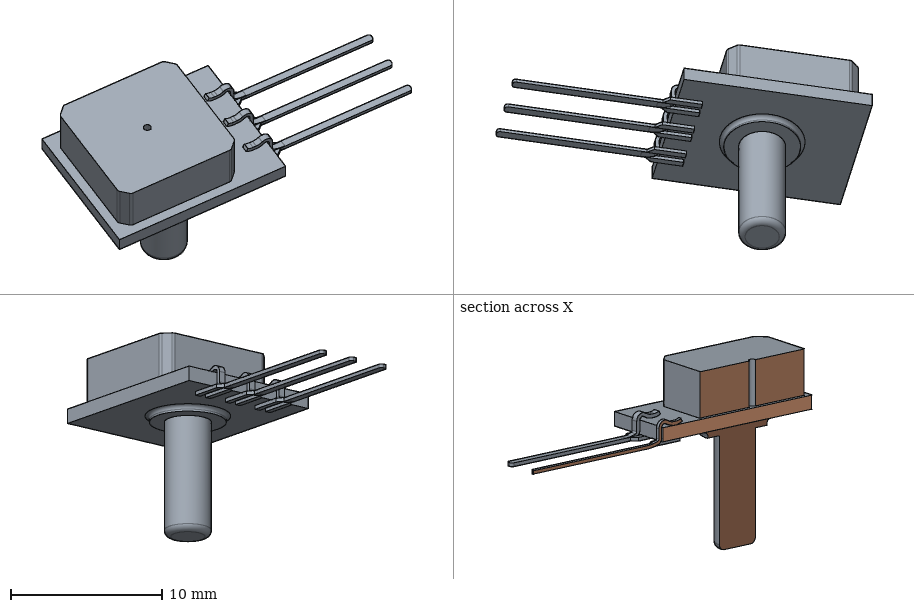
import cadquery as cq
import math


OVERALL_LENGTH = 23.75
OVERALL_HEIGHT = 12.59

BOARD_WIDTH = 10.16
BOARD_LENGTH = 12.7
BOARD_THICKNESS = 1.0
BOARD_BACK_Y = BOARD_LENGTH / 2

CAP_SIDE = 8.9
CAP_HEIGHT = 3.2
CAP_GAP = 0.07
CAP_BASE_Z = BOARD_THICKNESS + CAP_GAP
CAP_CENTER_Y = -1.25
CAP_CORNER_CUT = 0.65
CAP_EDGE_RADIUS = 0.28
VENT_DIAMETER = 0.5

PORT_DIAMETER = 3.1
PORT_LENGTH = OVERALL_HEIGHT - CAP_BASE_Z - CAP_HEIGHT
PORT_TIP_RADIUS = 0.43
FLANGE_RADIUS = 2.55
FLANGE_THICKNESS = 0.43
FLARE_RADIUS = 0.28

LEAD_COUNT = 3
LEAD_PITCH = 2.55
LEAD_THICKNESS = 0.25
LEAD_WIDTH = 0.55
LEAD_TIP_RADIUS = 0.21
LEAD_TIP_Y = BOARD_BACK_Y + OVERALL_LENGTH - BOARD_LENGTH
PAD_WIDTH = 1.25
PAD_TAPER_LENGTH = 0.4
PAD_OUTSIDE_BOARD = 0.52
PAD_UNDER_BOARD = 1.66
PAD_BACK_Y = BOARD_BACK_Y + PAD_OUTSIDE_BOARD
PAD_FRONT_Y = BOARD_BACK_Y - PAD_UNDER_BOARD

CLIP_WIDTH = 0.48
CLIP_ROOT_Y = BOARD_BACK_Y + 1.28
LIFT_RADIUS = 2.6
LIFT_ANGLE = 20.0
UPTURN_RADIUS = 0.25
HOOK_RADIUS = 0.38
HOOK_DROP_ANGLE = 35.0
CONTACT_RADIUS = 0.93
CONTACT_FLAT = 0.24
CLIP_END_ANGLE = 30.0


def make_board():
    """Flat rectangular board."""
    return cq.Workplane("XY").box(BOARD_WIDTH, BOARD_LENGTH, BOARD_THICKNESS, centered=(True, True, False))


def make_cap():
    """Square block with cut corners and a through vent hole, held just clear of the board."""
    block = (
        cq.Workplane("XY", origin=(0, CAP_CENTER_Y, CAP_BASE_Z))
        .rect(CAP_SIDE, CAP_SIDE)
        .extrude(CAP_HEIGHT)
        .edges("|Z")
        .chamfer(CAP_CORNER_CUT)
        .edges("|Z")
        .fillet(CAP_EDGE_RADIUS)
    )
    return block.faces(">Z").workplane(origin=(0, CAP_CENTER_Y, 0)).hole(VENT_DIAMETER).solids()


def make_port():
    """Round-ended post with a flange that flares out against the board, as one turned shape."""
    radius = PORT_DIAMETER / 2
    flare_offset = FLARE_RADIUS * (1 - math.sqrt(0.5))
    tip_offset = PORT_TIP_RADIUS * (1 - math.sqrt(0.5))
    return (
        cq.Workplane("YZ")
        .lineTo(FLANGE_RADIUS + FLARE_RADIUS, 0)
        .threePointArc((FLANGE_RADIUS + flare_offset, -flare_offset), (FLANGE_RADIUS, -FLARE_RADIUS))
        .lineTo(FLANGE_RADIUS, -FLANGE_THICKNESS)
        .lineTo(radius, -FLANGE_THICKNESS)
        .lineTo(radius, -PORT_LENGTH + PORT_TIP_RADIUS)
        .threePointArc(
            (radius - tip_offset, -PORT_LENGTH + tip_offset),
            (radius - PORT_TIP_RADIUS, -PORT_LENGTH),
        )
        .lineTo(0, -PORT_LENGTH)
        .close()
        .revolve(360, (0, 0, 0), (0, 1, 0))
    )


def bend(path, position, heading, radius, turn):
    """Add an arc and return its end; heading 0 is toward -Y, and a positive turn bends upward (degrees)."""
    signed_radius = math.copysign(radius, turn)
    center_y = position[0] + signed_radius * math.sin(math.radians(heading))
    center_z = position[1] + signed_radius * math.cos(math.radians(heading))

    def point_at(direction):
        angle = math.radians(direction)
        return (center_y - signed_radius * math.sin(angle), center_z - signed_radius * math.cos(angle))

    end = point_at(heading + turn)
    return path.threePointArc(point_at(heading + turn / 2), end), end


def make_clip_path():
    """Middle line of the clip: up past the board's back edge, over it and down onto its top face."""
    start = (CLIP_ROOT_Y, -LEAD_THICKNESS / 2)
    drop_cosine = math.cos(math.radians(HOOK_DROP_ANGLE))
    contact_z = BOARD_THICKNESS + LEAD_THICKNESS / 2
    hook_start_z = contact_z + CONTACT_RADIUS * (1 - drop_cosine) - HOOK_RADIUS * drop_cosine

    path = cq.Workplane("YZ").moveTo(*start)
    path, position = bend(path, start, 0, LIFT_RADIUS, LIFT_ANGLE)
    path, position = bend(path, position, LIFT_ANGLE, UPTURN_RADIUS, 90 - LIFT_ANGLE)
    position = (position[0], hook_start_z)
    path = path.lineTo(*position)
    path, position = bend(path, position, 90, HOOK_RADIUS, -90 - HOOK_DROP_ANGLE)
    path, position = bend(path, position, -HOOK_DROP_ANGLE, CONTACT_RADIUS, HOOK_DROP_ANGLE)
    position = (position[0] - CONTACT_FLAT, position[1])
    path = path.lineTo(*position)
    path, _ = bend(path, position, 0, CONTACT_RADIUS, CLIP_END_ANGLE)
    return path


def make_clip():
    """Flat strip bent along the clip path."""
    return (
        cq.Workplane("XZ", origin=(0, CLIP_ROOT_Y, -LEAD_THICKNESS / 2))
        .rect(CLIP_WIDTH, LEAD_THICKNESS)
        .sweep(make_clip_path())
    )


def make_lead(x):
    """Flat round-tipped lead with a forked pad under the board and a clip bent up out of the fork."""
    shoulder_y = PAD_BACK_Y + PAD_TAPER_LENGTH
    half_outline = [
        (0, LEAD_TIP_Y),
        (LEAD_WIDTH / 2, LEAD_TIP_Y),
        (LEAD_WIDTH / 2, shoulder_y),
        (PAD_WIDTH / 2, PAD_BACK_Y),
        (PAD_WIDTH / 2, PAD_FRONT_Y),
        (0, PAD_FRONT_Y),
    ]
    blade = (
        cq.Workplane("XY")
        .polyline(half_outline)
        .mirrorY()
        .extrude(-LEAD_THICKNESS)
        .faces(">Y")
        .edges("|Z")
        .fillet(LEAD_TIP_RADIUS)
    )
    slot_length = CLIP_ROOT_Y - PAD_FRONT_Y
    slot = cq.Workplane("XY").box(CLIP_WIDTH, slot_length, LEAD_THICKNESS).translate(
        (0, PAD_FRONT_Y + slot_length / 2, -LEAD_THICKNESS / 2)
    )
    return blade.cut(slot).union(make_clip()).translate((x, 0, 0)).solids()


board = make_board()
cap = make_cap()
port = make_port()
leads = [make_lead((i - (LEAD_COUNT - 1) / 2) * LEAD_PITCH) for i in range(LEAD_COUNT)]

result = cq.Compound.makeCompound(
    [board.val(), cap.val(), port.val(), *[lead.val() for lead in leads]]
)